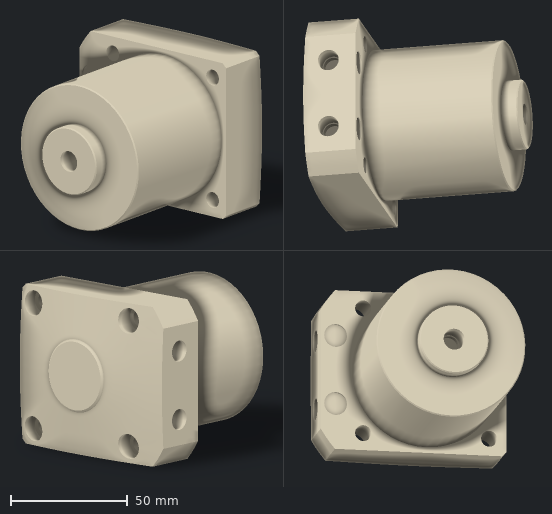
import cadquery as cq
import math


flange_half_height = 35.0
flange_port_side = -46.0
flange_plain_side = 35.0
port_corner_radius = 53.0
plain_corner_chamfer = 1.9

pad_height = 28.0
pad_base_radius = 16.0
pad_edge_bevel = 1.0
pad_top_radius = pad_base_radius - pad_edge_bevel
cone_top = pad_height - pad_edge_bevel
cone_slope = math.radians(7.5)
envelope_margin = 1.0

barrel_radius = 32.5
barrel_length = 57.0
rod_radius = 15.0
rod_length = 7.0
turned_edge_chamfer = 0.5

rod_bore_diameter = 9.2
rod_bore_core_diameter = 8.2
rod_bore_depth = 12.0
rod_bore_core_depth = 15.0

mount_pitch = 55.0
mount_diameter = 7.0
mount_counterbore_diameter = 11.0
mount_counterbore_floor = 17.0

port_spacing = 30.0
side_port_y = 12.0
side_port_diameter = 9.2
side_port_core_diameter = 8.2
side_port_depth = 9.0
side_port_core_depth = 12.0
face_port_x = -39.5
face_port_diameter = 10.0
face_port_depth = 1.0


def cylinder_along(start, direction, diameter, length):
    """Solid cylinder starting at a point and running along a direction."""
    return cq.Workplane(
        cq.Solid.makeCylinder(diameter / 2, length, cq.Vector(*start), cq.Vector(*direction))
    )


def flange_prism():
    """Flange outline with two arc-cut corners and two chamfered ones."""
    h = flange_half_height
    arc_start_z = math.sqrt(port_corner_radius**2 - flange_port_side**2)
    arc_end_x = -math.sqrt(port_corner_radius**2 - h**2)
    mid_angle = (math.atan2(arc_start_z, -flange_port_side) + math.atan2(h, -arc_end_x)) / 2
    arc_mid_x = -port_corner_radius * math.cos(mid_angle)
    arc_mid_z = port_corner_radius * math.sin(mid_angle)
    chamfer_x = flange_plain_side - plain_corner_chamfer
    chamfer_z = h - plain_corner_chamfer
    return (
        cq.Workplane("XZ")
        .moveTo(flange_port_side, -arc_start_z)
        .lineTo(flange_port_side, arc_start_z)
        .threePointArc((arc_mid_x, arc_mid_z), (arc_end_x, h))
        .lineTo(chamfer_x, h)
        .lineTo(flange_plain_side, chamfer_z)
        .lineTo(flange_plain_side, -chamfer_z)
        .lineTo(chamfer_x, -h)
        .lineTo(arc_end_x, -h)
        .threePointArc((arc_mid_x, -arc_mid_z), (flange_port_side, -arc_start_z))
        .close()
        .extrude(-pad_height)
    )


def coned_envelope():
    """Turned body whose back carries the pad and the cone."""
    outer_radius = port_corner_radius + envelope_margin
    cone_bottom = cone_top - (outer_radius - pad_base_radius) * math.tan(cone_slope)
    return (
        cq.Workplane("XY")
        .moveTo(0, 0)
        .lineTo(outer_radius, 0)
        .lineTo(outer_radius, cone_bottom)
        .lineTo(pad_base_radius, cone_top)
        .lineTo(pad_top_radius, pad_height)
        .lineTo(0, pad_height)
        .close()
        .revolve(360, (0, 0, 0), (0, 1, 0))
    )


def turned_stub(radius, start, length):
    """Cylinder towards -Y with a chamfered free end."""
    stub = cylinder_along((0, start, 0), (0, -1, 0), 2 * radius, length)
    return stub.faces("<Y").chamfer(turned_edge_chamfer)


def stepped_bore(start, direction, diameter, depth, core_diameter, core_depth):
    """Bore that narrows to a smaller core at its inner end."""
    mouth = cylinder_along(start, direction, diameter, depth)
    core = cylinder_along(start, direction, core_diameter, core_depth)
    return mouth.union(core)


def add_mounting_holes(body):
    counterbore_length = pad_height - mount_counterbore_floor
    for side in (-1, 1):
        for level in (-1, 1):
            x = side * mount_pitch / 2
            z = level * mount_pitch / 2
            body = body.cut(cylinder_along((x, 0, z), (0, 1, 0), mount_diameter, pad_height))
            body = body.cut(
                cylinder_along(
                    (x, mount_counterbore_floor, z),
                    (0, 1, 0),
                    mount_counterbore_diameter,
                    counterbore_length,
                )
            )
    return body


def add_ports(body):
    for level in (-1, 1):
        z = level * port_spacing / 2
        side_port = stepped_bore(
            (flange_port_side, side_port_y, z),
            (1, 0, 0),
            side_port_diameter,
            side_port_depth,
            side_port_core_diameter,
            side_port_core_depth,
        )
        face_port = cylinder_along((face_port_x, 0, z), (0, 1, 0), face_port_diameter, face_port_depth)
        body = body.cut(side_port).cut(face_port)
    return body


flange = flange_prism().intersect(coned_envelope())
barrel = turned_stub(barrel_radius, 0, barrel_length)
rod = turned_stub(rod_radius, -barrel_length, rod_length)
rod_bore = stepped_bore(
    (0, -barrel_length - rod_length, 0),
    (0, 1, 0),
    rod_bore_diameter,
    rod_bore_depth,
    rod_bore_core_diameter,
    rod_bore_core_depth,
)

body = flange.union(barrel).union(rod).cut(rod_bore)
body = add_mounting_holes(body)
result = add_ports(body)